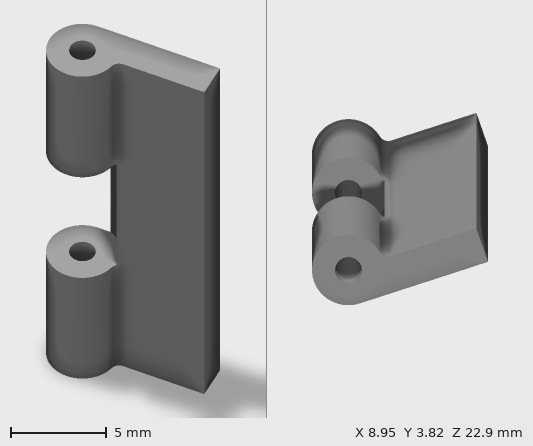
import cadquery as cq
import math

length = 22.85
width = 8.95
knuckle_diameter = 3.82
pin_diameter = 1.4
fillet_radius = 0.5
clearance_radius = 2.03
knuckle_count = 3

knuckle_radius = knuckle_diameter / 2
leaf_end = width - knuckle_radius
gap_length = length / knuckle_count

centre_distance = knuckle_radius + fillet_radius
fillet_end = math.sqrt(centre_distance**2 - fillet_radius**2)
fillet_angle = math.asin(fillet_radius / centre_distance)
fillet_start = (
    knuckle_radius * math.cos(fillet_angle),
    -knuckle_radius * math.sin(fillet_angle),
)
fillet_mid_angle = (math.pi - fillet_angle + math.pi / 2) / 2
fillet_mid = (
    fillet_end + fillet_radius * math.cos(fillet_mid_angle),
    -fillet_radius + fillet_radius * math.sin(fillet_mid_angle),
)
knuckle_mid_angle = (math.pi / 2 + 2 * math.pi - fillet_angle) / 2
knuckle_mid = (
    knuckle_radius * math.cos(knuckle_mid_angle),
    knuckle_radius * math.sin(knuckle_mid_angle),
)


def make_leaf_with_knuckle():
    """Full-length hinge leaf with its knuckle and root fillet."""
    return (
        cq.Workplane("XY")
        .moveTo(leaf_end, knuckle_radius)
        .lineTo(0, knuckle_radius)
        .threePointArc(knuckle_mid, fillet_start)
        .threePointArc(fillet_mid, (fillet_end, 0))
        .lineTo(leaf_end, 0)
        .close()
        .extrude(length / 2, both=True)
    )


def make_axial_cylinder(radius, height):
    """Cylinder on the hinge axis, centred at mid length."""
    return cq.Workplane("XY").circle(radius).extrude(height / 2, both=True)


pin_hole = make_axial_cylinder(pin_diameter / 2, length)
knuckle_gap = make_axial_cylinder(clearance_radius, gap_length)

result = make_leaf_with_knuckle().cut(pin_hole).cut(knuckle_gap)